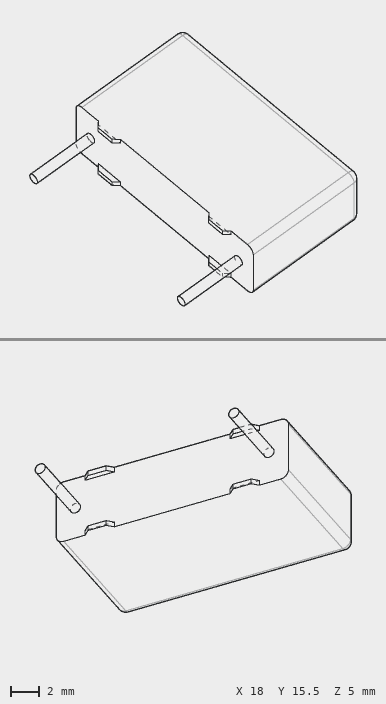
import cadquery as cq

case_length = 18.0
case_depth = 10.1
case_height = 5.0
case_edge_radius = 0.6

foot_spacing = 11.23
foot_base_width = 2.25
foot_projection = 0.41
foot_thickness = 0.4
foot_tip_width = foot_base_width - 2 * foot_projection

lead_spacing = 15.0
lead_diameter = 0.8
lead_length = 5.4


def make_foot(center_x, bottom_z):
    """Trapezoidal foot that projects from the lead face toward -Y."""
    half_base = foot_base_width / 2
    half_tip = foot_tip_width / 2
    return (
        cq.Workplane("XY", origin=(center_x, 0, bottom_z))
        .moveTo(-half_base, 0)
        .lineTo(-half_tip, -foot_projection)
        .lineTo(half_tip, -foot_projection)
        .lineTo(half_base, 0)
        .close()
        .extrude(foot_thickness)
    )


def make_case():
    """Rounded case, sharp around the lead face, with its four feet."""
    case = (
        cq.Workplane("XY")
        .box(case_length, case_depth, case_height)
        .translate((0, case_depth / 2, 0))
        .edges("|Y or >Y")
        .fillet(case_edge_radius)
    )
    lower_foot_z = -case_height / 2
    upper_foot_z = case_height / 2 - foot_thickness
    for center_x in (-foot_spacing / 2, foot_spacing / 2):
        for bottom_z in (lower_foot_z, upper_foot_z):
            case = case.union(make_foot(center_x, bottom_z))
    return case


def make_lead(center_x):
    """Round lead that butts against the lead face and runs toward -Y."""
    return (
        cq.Workplane("XZ", origin=(center_x, 0, 0))
        .circle(lead_diameter / 2)
        .extrude(lead_length)
    )


case = make_case()
leads = [make_lead(center_x) for center_x in (-lead_spacing / 2, lead_spacing / 2)]

result = cq.Compound.makeCompound([case.solids().val(), *[lead.val() for lead in leads]])